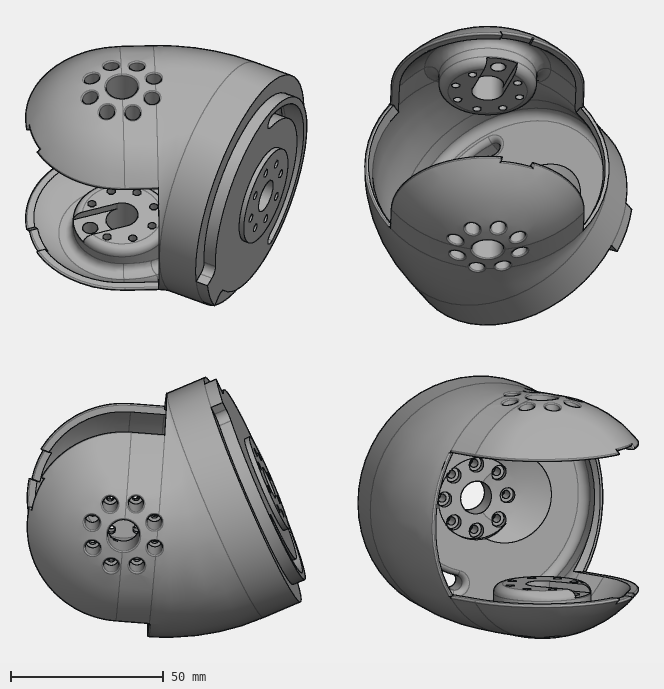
import cadquery as cq
import math

outer_radius = 40.0
wall = 2.5
inner_radius = outer_radius - wall
tilt = 28
head_length = 11.0
bend_radius = 40.3
blend = 3.0

floor_x = 37.3
recess_x = 39.3
step_x = 41.8
plate_x = 45.95
hub_x = 47.7

plate_radius = 33.8
hub_radius = 32.7 / 2
recess_radius = 13.7
base_bore = 10.8
tab_angles = (188, 211)

slot_radius = 28.9
slot_width = 5.0
slot_half_angle = 75
slot_rounding = 1.95

opening_half = 23.9
clearance_radius = 40.3
rim_rounding = 0.5

boss_radius = 32.0 / 2
boss_face_z = 22.4
head_bore = 10.4
notch_width = 10.4
notch_z = 25.0
notch_direction = 225

screw_count = 8
screw_circle = 11.0
screw_hole = 2.7
screw_head = 5.0
screw_seat_z = boss_face_z + blend
hole_rounding = 0.4

far = 4 * outer_radius
near_enough = 0.01

along_x = math.cos(math.radians(tilt))
along_y = math.sin(math.radians(tilt))
base_x = head_length * along_x + bend_radius * along_y
base_y = head_length * along_y + bend_radius * (1 - along_x)

head_plane = cq.Plane((0, 0, 0), (along_x, along_y, 0), (0, 0, 1))


def base_plane(x):
    """Plane across the base axis: local x is +Y, local y is +Z, and the normal is +X."""
    return cq.Workplane(cq.Plane((x, base_y, 0), (0, 1, 0), (1, 0, 0)))


def on_circle(radius, angle):
    """Point at an angle in degrees on a circle."""
    return (radius * math.cos(math.radians(angle)), radius * math.sin(math.radians(angle)))


def picked(body, test):
    """The edges of a body that pass a test."""
    return body.newObject([edge for edge in body.edges().vals() if test(edge)])


screw_angles = [notch_direction + 360 / screw_count * i for i in range(screw_count)]
screw_points = [on_circle(screw_circle, angle) for angle in screw_angles]
notch_screw, *other_screws = screw_points


def elbow(radius, end_x):
    """Solid ball, head tube, bend and base tube of one radius."""
    head = (
        cq.Workplane(head_plane)
        .moveTo(-radius, 0)
        .threePointArc(on_circle(radius, 135), (0, radius))
        .lineTo(head_length, radius)
        .lineTo(head_length, 0)
        .close()
        .revolve(360, (0, 0), (1, 0))
    )
    bend = base_plane(base_x).circle(radius).revolve(tilt, (-bend_radius, 0), (-bend_radius, 1))
    base = base_plane(base_x).circle(radius).extrude(end_x - base_x)
    return head.union(bend).union(base)


def mirrored(cheek_feature):
    """A feature of the upper cheek together with its copy on the lower cheek."""
    return cheek_feature.union(cheek_feature.mirror("XY"))



def upright_rods(diameter, low_z, points):
    """Round rods along Z that start at low_z and reach out past the shell."""
    return cq.Workplane("XY").workplane(offset=low_z).pushPoints(points).circle(diameter / 2).extrude(far)


def cheek_holes():
    """Bore and screw holes of both cheeks; the hole in the notch keeps its full width."""
    bore = upright_rods(head_bore, 0, [(0, 0)])
    seats = upright_rods(screw_head, screw_seat_z, other_screws)
    notch_hole = upright_rods(screw_head, 0, [notch_screw])
    screws = upright_rods(screw_hole, 0, other_screws)
    return mirrored(bore.union(seats).union(notch_hole).union(screws))


def is_hole_mouth(edge):
    """Whether an edge lies on the outer end of a bore or screw seat."""
    middle = edge.positionAt(0.5)
    if abs(middle.z) < inner_radius:
        return False
    walls = [(0, 0, head_bore / 2)] + [(x, y, screw_head / 2) for x, y in screw_points]
    return any(abs(math.hypot(middle.x - x, middle.y - y) - r) < near_enough for x, y, r in walls)



def slab(half_height):
    """Wide plate centred on the plane between the cheeks."""
    return cq.Workplane("XY").box(far, far, 2 * half_height)


def opening():
    """Room for the mating ball: in front of the end of the head tube and round the origin."""
    front = cq.Workplane(head_plane).center(head_length - far / 2, 0).box(far, far, 2 * opening_half)
    ball = cq.Workplane("XY").sphere(clearance_radius)
    return front.union(ball.intersect(slab(opening_half)))


def notch():
    """Straight slot from the head bore out through the rims of both cheeks."""
    beam = cq.Workplane("XY").center(far / 2, 0).box(far, notch_width, 2 * notch_z)
    return beam.rotate((0, 0, 0), (0, 0, 1), notch_direction)


def is_cheek_rim(edge):
    """Whether an edge runs along the outer rim of a cheek or of its notch."""
    middle = head_plane.toLocalCoords(edge.positionAt(0.5))
    if abs(middle.z) > notch_z + near_enough or middle.x > head_length - near_enough:
        return False
    axis_distance = math.hypot(min(0, middle.x), middle.y, middle.z)
    return abs(axis_distance - outer_radius) < near_enough


def bend_rim_rounding():
    """Half ring that rounds the outer edge where the opening cuts the start of the bend."""
    arc_x, arc_y = on_circle(rim_rounding, 135)
    ring = (
        cq.Workplane(head_plane)
        .moveTo(head_length, outer_radius)
        .lineTo(head_length + rim_rounding, outer_radius)
        .threePointArc(
            (head_length + rim_rounding + arc_x, outer_radius - rim_rounding + arc_y),
            (head_length, outer_radius - rim_rounding),
        )
        .close()
        .revolve(180, (0, 0), (1, 0))
        .rotate((0, 0, 0), (along_x, along_y, 0), -90)
    )
    return ring.intersect(slab(opening_half))



def bosses():
    """Round boss with a rounded face on each cheek."""
    height = outer_radius - boss_face_z
    boss = cq.Workplane("XY").workplane(offset=boss_face_z).circle(boss_radius).extrude(height)
    return mirrored(boss.faces("<Z").edges().fillet(blend))


def is_boss_foot(edge):
    """Whether an edge is where a boss meets the inside of the shell."""
    points = [edge.positionAt(t) for t in (0, 0.5, 1)]
    return (
        edge.geomType() != "LINE"
        and abs(points[1].z) > boss_face_z + 2 * blend
        and all(abs(math.hypot(p.x, p.y) - boss_radius) < near_enough for p in points)
    )


def cavity():
    """Hollow of the shell, rounded round the floor and the feet of the bosses."""
    hollow = elbow(inner_radius, floor_x).faces(">X").edges().fillet(blend)
    hollow = hollow.cut(bosses())
    return picked(hollow, is_boss_foot).fillet(blend)



def base_rods(diameter, start_x, points=((0, 0),)):
    """Round rods along the base axis from start_x out through the hub."""
    return base_plane(start_x).pushPoints(points).circle(diameter / 2).extrude(far)


def base_plate():
    """Stepped plate with a locating tab and a hub behind the base."""
    thickness = plate_x - step_x
    start, end = tab_angles
    tab = (
        base_plane(step_x)
        .lineTo(*on_circle(outer_radius, start))
        .threePointArc(on_circle(outer_radius, (start + end) / 2), on_circle(outer_radius, end))
        .close()
        .extrude(thickness)
    )
    plate = base_plane(step_x).circle(plate_radius).extrude(thickness).union(tab)
    for angle in tab_angles:
        y, z = on_circle(plate_radius, angle)
        root = cq.selectors.NearestToPointSelector((step_x + thickness / 2, base_y + y, z))
        plate = plate.edges(root).fillet(blend)
    hub = base_plane(plate_x).circle(hub_radius).extrude(hub_x - plate_x)
    return plate.union(hub)


def slot_tip(angle):
    """Outermost point of the round end of the cable slot at an angle."""
    x, y = on_circle(slot_radius, angle)
    tip_x, tip_y = on_circle(slot_width / 2, angle + math.copysign(90, angle))
    return (x + tip_x, y + tip_y)


def cable_slot():
    """Curved slot with round ends."""
    inner = slot_radius - slot_width / 2
    outer = slot_radius + slot_width / 2
    start = -slot_half_angle
    end = slot_half_angle
    return (
        base_plane(floor_x)
        .moveTo(*on_circle(inner, start))
        .threePointArc((inner, 0), on_circle(inner, end))
        .threePointArc(slot_tip(end), on_circle(outer, end))
        .threePointArc((outer, 0), on_circle(outer, start))
        .threePointArc(slot_tip(start), on_circle(inner, start))
        .close()
        .extrude(far)
    )


def is_slot_mouth(edge):
    """Whether an edge runs round the slot where it opens on the floor."""
    middle = edge.positionAt(0.5)
    slot_offset = abs(math.hypot(middle.y - base_y, middle.z) - slot_radius)
    return abs(middle.x - floor_x) < near_enough and slot_offset < slot_width / 2 + near_enough


shell = elbow(outer_radius, step_x).cut(cheek_holes())
shell = picked(shell, is_hole_mouth).fillet(hole_rounding)
shell = shell.cut(opening().union(notch()))
shell = picked(shell, is_cheek_rim).fillet(rim_rounding)
shell = shell.cut(bend_rim_rounding()).cut(cavity())

boss_ends = bosses().intersect(slab(inner_radius - 2 * blend))
shell = shell.union(boss_ends.cut(notch()).cut(cheek_holes()))

shell = shell.union(base_plate()).cut(cable_slot())
shell = picked(shell, is_slot_mouth).fillet(slot_rounding)
result = (
    shell.cut(base_plane(floor_x).circle(recess_radius).extrude(recess_x - floor_x))
    .cut(base_rods(base_bore, floor_x))
    .cut(base_rods(screw_hole, floor_x, screw_points))
    .cut(base_plane(floor_x).pushPoints(screw_points).circle(screw_head / 2).extrude(step_x - floor_x))
)